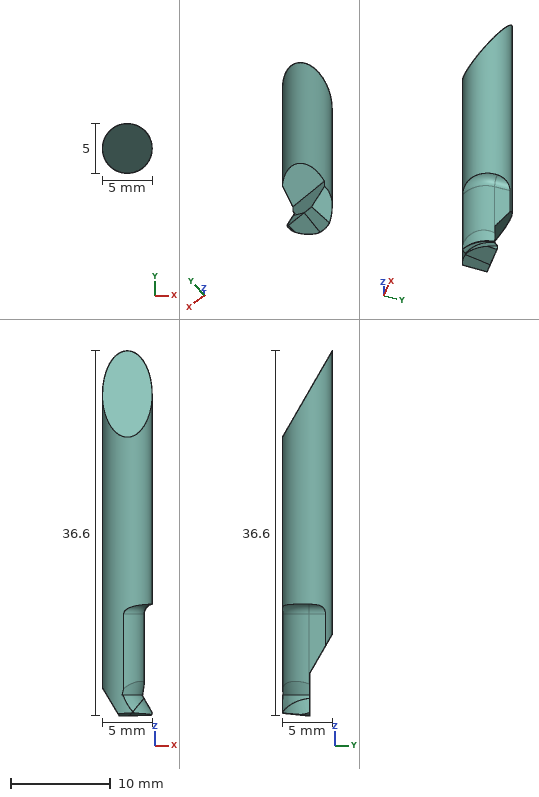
import cadquery as cq
import math


bar_radius = 2.5
bar_length = 36.61
top_cut_angle = 30.0
margin = 5.0

rake_y = 0.25
rake_cut_top = 8.2
rake_cut_angle = 30.0
side_cut_top = 2.85
side_cut_angle = 31.0
end_x = -0.85
end_side_slope = 1.5
end_front_slope = 6.0

nose_radius = 0.2

neck_radius = 2.75
neck_side_x = 1.71
neck_x = neck_side_x - neck_radius
neck_y = 0.19
shoulder_z = 11.25
shoulder_fillet = 1.0
fillet_tolerance = 0.1

waist_start_z = 3.5
waist_z = 2.13
waist_extra_radius = 0.36
waist_lean = 0.24
waist_direction = 60.0

flank_angle = 30.0
flank_radius = 3.6
flank_side_x = 1.52
flank_y = 0.75
flank_bottom_z = -1.0

split_bottom_x = 0.17
split_angle = 50.0


def tan_deg(angle):
    return math.tan(math.radians(angle))


def prism_along_y(points):
    """Extrude an outline of (x, z) points across the whole bar."""
    return cq.Workplane("XZ").polyline(points).close().extrude(2 * margin, both=True)


def prism_along_x(points):
    """Extrude an outline of (y, z) points across the whole bar."""
    return cq.Workplane("YZ").polyline(points).close().extrude(2 * margin, both=True)


def neck_column(radius, center, z_start, z_end, drift=(0, 0)):
    """Column with a round -Y side whose section moves by drift from z_start to z_end."""
    x, y = center
    outline = (
        cq.Workplane("XY", origin=(0, 0, z_start))
        .moveTo(x + radius, margin)
        .lineTo(x + radius, y)
        .threePointArc(
            (x + radius * math.sqrt(0.5), y - radius * math.sqrt(0.5)),
            (x, y - radius),
        )
        .lineTo(-margin, y - radius)
        .lineTo(-margin, margin)
        .close()
    )
    path = cq.Vector(drift[0], drift[1], z_end - z_start)
    return cq.Workplane(cq.Solid.extrudeLinear(outline.val(), [], path))


def make_shoulder():
    """Large block above the neck, blended into the neck by a concave fillet."""
    block = cq.Workplane("XY", origin=(0, 0, shoulder_z)).box(
        4 * margin, 4 * margin, bar_length, centered=(True, True, False)
    )
    neck = neck_column(neck_radius, (neck_x, neck_y), waist_start_z, shoulder_z)
    shoulder_edges = cq.selectors.BoxSelector(
        (-margin, neck_y - neck_radius, shoulder_z - fillet_tolerance),
        (neck_side_x + fillet_tolerance, margin, shoulder_z + fillet_tolerance),
    )
    return block.union(neck).edges(shoulder_edges).fillet(shoulder_fillet)


def make_waist():
    """Neck continued downward and undercut by the leaning waist column."""
    neck = neck_column(neck_radius, (neck_x, neck_y), waist_z, waist_start_z)
    back_x = -math.sin(math.radians(waist_direction))
    back_y = math.cos(math.radians(waist_direction))
    undercut = neck_column(
        neck_radius + waist_extra_radius,
        (neck_x + waist_extra_radius * back_x, neck_y + waist_extra_radius * back_y),
        waist_start_z,
        waist_z,
        (waist_lean * back_x, waist_lean * back_y),
    )
    return neck.intersect(undercut)


def make_flank():
    """Cutting end that leans out toward +X."""
    drift = (waist_z - flank_bottom_z) * tan_deg(flank_angle)
    center = (flank_side_x - flank_radius, flank_y)
    return neck_column(flank_radius, center, waist_z, flank_bottom_z, (drift, 0))


def make_bar():
    """Round bar trimmed to the shoulder, neck, waist and flank."""
    bar = (
        cq.Workplane("XY", origin=(0, 0, flank_bottom_z))
        .circle(bar_radius)
        .extrude(bar_length - flank_bottom_z)
    )
    return bar.intersect(make_shoulder().union(make_waist()).union(make_flank()))


def cut_top(bar):
    """Slope the top face down toward -Y."""
    front_y = -bar_radius - margin
    front_z = bar_length - (bar_radius - front_y) / tan_deg(top_cut_angle)
    return bar.cut(prism_along_x([
        (bar_radius, bar_length),
        (front_y, front_z),
        (front_y, bar_length),
    ]))


def cut_rake(bar):
    """Sloped run-out and the flat below it on the +Y side."""
    flat_top = rake_cut_top - (bar_radius - rake_y) / tan_deg(rake_cut_angle)
    return bar.cut(prism_along_x([
        (bar_radius, rake_cut_top),
        (rake_y, flat_top),
        (rake_y, -margin),
        (bar_radius + margin, -margin),
        (bar_radius + margin, rake_cut_top),
    ]))


def cut_side_bevel(bar):
    """Bevel on the -X side of the lower end."""
    bevel_x = -bar_radius + (side_cut_top + margin) * tan_deg(side_cut_angle)
    return bar.cut(prism_along_y([
        (-bar_radius, side_cut_top),
        (bevel_x, -margin),
        (-bar_radius - margin, -margin),
        (-bar_radius - margin, side_cut_top),
    ]))


def cut_end_face(bar):
    """End face that rises toward +X and toward -Y."""
    side_rise = tan_deg(end_side_slope)
    front_rise = tan_deg(end_front_slope)
    plane = cq.Plane(
        origin=(end_x, rake_y, 0),
        xDir=(1, 0, side_rise),
        normal=(side_rise, -front_rise, -1),
    )
    return bar.cut(cq.Workplane(plane).rect(4 * margin, 4 * margin).extrude(margin))


def round_nose(bar):
    """Round the cutting corner, following the slope of the end face toward -Y."""
    corner_z = (bar_radius - end_x) * tan_deg(end_side_slope)
    diagonal = nose_radius * math.sqrt(0.5)
    arc_x = bar_radius - nose_radius
    arc_z = corner_z + nose_radius
    outline = (
        cq.Workplane(cq.Plane(origin=(0, rake_y, 0), xDir=(1, 0, 0), normal=(0, -1, 0)))
        .moveTo(bar_radius, arc_z)
        .threePointArc((arc_x + diagonal, arc_z - diagonal), (arc_x, corner_z))
        .lineTo(arc_x, -margin)
        .lineTo(bar_radius + margin, -margin)
        .lineTo(bar_radius + margin, arc_z)
        .close()
    )
    path = cq.Vector(0, -margin, margin * tan_deg(end_front_slope))
    return bar.cut(cq.Workplane(cq.Solid.extrudeLinear(outline.val(), [], path)))


def make_tip_zone():
    """Region on the +X side of the split plane, up to the waist."""
    run = 1 / tan_deg(split_angle)
    return prism_along_y([
        (split_bottom_x - margin * run, -margin),
        (split_bottom_x + waist_z * run, waist_z),
        (margin, waist_z),
        (margin, -margin),
    ])


tool = round_nose(cut_end_face(cut_side_bevel(cut_rake(cut_top(make_bar())))))
tip_zone = make_tip_zone()
shank = tool.cut(tip_zone)
tip = tool.intersect(tip_zone)
result = cq.Compound.makeCompound([*shank.solids().vals(), *tip.solids().vals()])